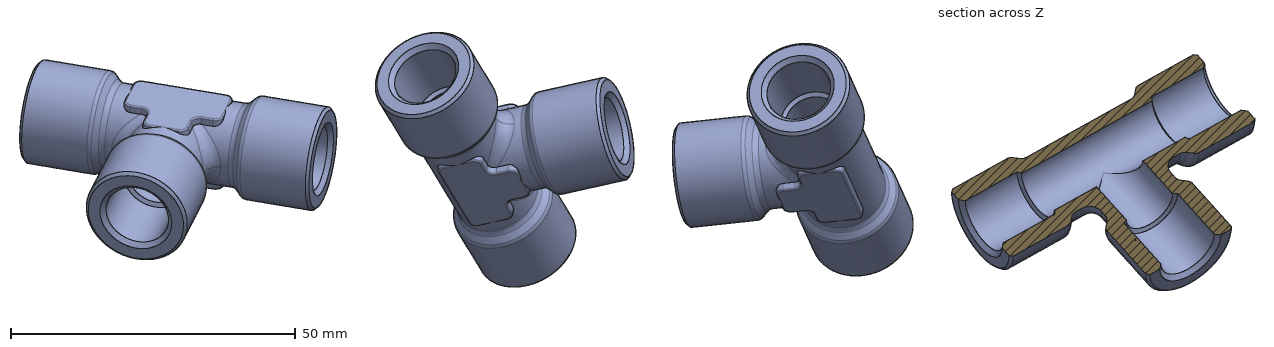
import cadquery as cq
import math

arm_length = 26.5
collar_radius = 9.25
neck_radius = 7.5
collar_start = 13.6
collar_edge_radius = 1.0
neck_blend_radius = 1.5
end_chamfer = 0.55
crotch_radius = 2.5

bore_radius = 5.0
port_radius = 5.7
port_depth = 12.0
port_mouth_radius = 6.55
drill_point_angle = 118.0

pad_half_width = 9.0
pad_half_band = 4.05
pad_corner_radius = 1.45
pad_wall_height = 1.6
pad_edge_radius = 0.3
pad_draft = 10.0

arm_angles = (0, 180, -90)

edge_tolerance = 0.05


def revolve_arm(profile):
    """Turn a (distance along arm, radius) profile about the X axis."""
    return profile.revolve(360, (0, 0, 0), (1, 0, 0))


def ring_edge(arm, distance):
    """Circular edge of an arm lying along +X at the given distance from the tee centre."""
    return arm.edges(cq.selectors.BoxSelector(
        (distance - edge_tolerance, -edge_tolerance, -edge_tolerance),
        (distance + edge_tolerance, edge_tolerance, edge_tolerance),
    ))


def arm_blank():
    """Neck, 45 degree shoulder and collar, lying along +X."""
    shoulder_foot = collar_start - (collar_radius - neck_radius)
    profile = (
        cq.Workplane("XY")
        .lineTo(0, neck_radius)
        .lineTo(shoulder_foot, neck_radius)
        .lineTo(collar_start, collar_radius)
        .lineTo(arm_length - end_chamfer, collar_radius)
        .lineTo(arm_length, collar_radius - end_chamfer)
        .lineTo(arm_length, 0)
        .close()
    )
    blank = revolve_arm(profile)
    blank = ring_edge(blank, shoulder_foot).fillet(neck_blend_radius)
    return ring_edge(blank, collar_start).fillet(collar_edge_radius)


def arm_bore():
    """Bore with a drilled port and chamfered mouth, along +X."""
    cone_length = (port_radius - bore_radius) / math.tan(math.radians(drill_point_angle / 2))
    port_bottom = arm_length - port_depth
    mouth_chamfer = port_mouth_radius - port_radius
    profile = (
        cq.Workplane("XY")
        .lineTo(0, bore_radius)
        .lineTo(port_bottom - cone_length, bore_radius)
        .lineTo(port_bottom, port_radius)
        .lineTo(arm_length - mouth_chamfer, port_radius)
        .lineTo(arm_length, port_mouth_radius)
        .lineTo(arm_length, 0)
        .close()
    )
    return revolve_arm(profile)


def flat_pad():
    """T-shaped pad under the plane of the neck tops, with drafted walls and a rounded rim."""
    upper_band = 2 * pad_half_band
    stem_length = pad_half_width + pad_half_band
    outline = (
        cq.Sketch()
        .rect(2 * pad_half_width, upper_band)
        .push([(0, pad_half_band - stem_length / 2)])
        .rect(upper_band, stem_length)
        .reset()
        .clean()
        .vertices()
        .fillet(pad_corner_radius)
    )
    top_plane = cq.Workplane("XY").workplane(offset=neck_radius)
    plate = top_plane.placeSketch(outline).extrude(-pad_wall_height, taper=-pad_draft)
    return plate.faces(">Z").edges().fillet(pad_edge_radius)


def place_on_arms(shape):
    """Union of one copy of the shape on each arm of the tee."""
    placed = shape
    for angle in arm_angles[1:]:
        placed = placed.union(shape.rotate((0, 0, 0), (0, 0, 1), angle))
    return placed


def is_crotch_edge(edge):
    """True for the seams where the branch neck meets the run necks."""
    middle = edge.Center()
    return middle.y < -neck_radius / 2 and abs(abs(middle.x) + middle.y) < edge_tolerance


body = place_on_arms(arm_blank())
crotch_edges = [edge for edge in body.edges().vals() if is_crotch_edge(edge)]
body = body.newObject(crotch_edges).fillet(crotch_radius)

upper_pad = flat_pad()
body = body.union(upper_pad).union(upper_pad.mirror("XY"))

result = body.cut(place_on_arms(arm_bore()))